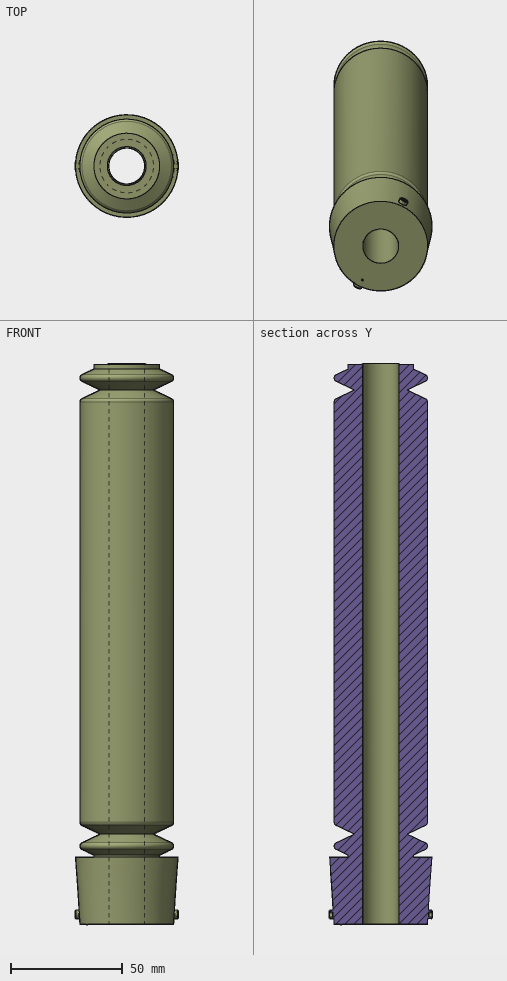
import cadquery as cq
import math

face_height = 250.5
body_radius = 42 / 2
neck_radius = 24 / 2
collar_radius = 29.4 / 2
low_collar_length = 0.9
top_collar_length = 2.0
rim_fillet = 1.7
cone_slope = math.radians(25.5)

bore_radius = 16 / 2
lip_width = 0.7
lip_height = 0.5

foot_height = 30.0
foot_top_radius = 46 / 2
foot_bottom_radius = 42 / 2
foot_middle_radius = 21.9

screw_radius = 4 / 2
screw_tip = 46.1 / 2
screw_height = 4.4
screw_root = 16.0
screw_chamfer = 0.4
socket_radius = 1.0
socket_depth = 1.5

nut_drop = 0.23
nut_offset = 17.8
nut_thickness = 0.6
nut_turn = 30
nut_corner_radius = screw_height + nut_drop

arc_center_radius = body_radius - rim_fillet
cone_outer_radius = arc_center_radius + rim_fillet * math.sin(cone_slope)
tangent_rise = rim_fillet * math.cos(cone_slope)


def cone_run(inner_radius):
    """Axial distance from the centre of a rim arc to where its cone reaches inner_radius."""
    return tangent_rise + (cone_outer_radius - inner_radius) * math.tan(cone_slope)


neck_run = cone_run(neck_radius)
collar_run = cone_run(collar_radius)
low_rim = foot_height + low_collar_length + collar_run
low_neck = low_rim + neck_run
grip_bottom = low_neck + neck_run
top_rim = face_height - top_collar_length - collar_run
top_neck = top_rim - neck_run
grip_top = top_neck - neck_run


def revolve_about_z(outline):
    """Close a half section drawn from the axis and turn it into a solid."""
    return outline.close().revolve(360, (0, 0, 0), (0, 1, 0))


def add_rim(outline, height):
    """Rounded rim between its lower and upper cones."""
    outline = outline.lineTo(cone_outer_radius, height - tangent_rise)
    return outline.threePointArc((body_radius, height), (cone_outer_radius, height + tangent_rise))


def add_grip(outline):
    """Long cylinder whose two ends round over into the neck cones."""
    half_angle = (math.pi / 2 - cone_slope) / 2
    middle_radius = arc_center_radius + rim_fillet * math.cos(half_angle)
    middle_rise = rim_fillet * math.sin(half_angle)
    outline = outline.lineTo(cone_outer_radius, grip_bottom - tangent_rise)
    outline = outline.threePointArc((middle_radius, grip_bottom - middle_rise), (body_radius, grip_bottom))
    outline = outline.lineTo(body_radius, grip_top)
    return outline.threePointArc(
        (middle_radius, grip_top + middle_rise), (cone_outer_radius, grip_top + tangent_rise)
    )


def turned_handle():
    """Foot, two rims, grip and bore lip as one solid of revolution, without the bore."""
    outline = cq.Workplane("XZ").lineTo(foot_bottom_radius, 0)
    outline = outline.threePointArc((foot_middle_radius, foot_height / 2), (foot_top_radius, foot_height))
    outline = outline.lineTo(collar_radius, foot_height)
    outline = outline.lineTo(collar_radius, foot_height + low_collar_length)
    outline = add_rim(outline, low_rim).lineTo(neck_radius, low_neck)
    outline = add_grip(outline).lineTo(neck_radius, top_neck)
    outline = add_rim(outline, top_rim)
    outline = outline.lineTo(collar_radius, face_height - top_collar_length)
    outline = outline.lineTo(collar_radius, face_height)
    outline = outline.lineTo(bore_radius + lip_width, face_height)
    outline = outline.lineTo(bore_radius, face_height + lip_height)
    return revolve_about_z(outline.lineTo(0, face_height + lip_height))


def bore():
    """Straight hole from the bottom of the foot to the tip of the lip."""
    return cq.Workplane("XY").circle(bore_radius).extrude(face_height + lip_height)


def set_screw():
    """Set screw on the +X side, with a chamfered tip and a blind round socket."""
    screw = cq.Workplane("YZ", origin=(screw_root, 0, screw_height))
    screw = screw.circle(screw_radius).extrude(screw_tip - screw_root)
    return screw.faces(">X").chamfer(screw_chamfer)


def screw_socket():
    """Blind socket in the tip of the +X set screw."""
    socket = cq.Workplane("YZ", origin=(screw_tip - socket_depth, 0, screw_height))
    return socket.circle(socket_radius).extrude(socket_depth)


def nut():
    """Hexagonal plate with one corner pointing straight down."""
    plate = cq.Workplane("YZ", origin=(-nut_offset - nut_thickness / 2, 0, screw_height))
    plate = plate.transformed(rotate=(0, 0, nut_turn)).polygon(6, 2 * nut_corner_radius)
    return plate.extrude(nut_thickness)


result = turned_handle().cut(bore()).union(nut())
for turn in (0, 180):
    result = result.union(set_screw().rotate((0, 0, 0), (0, 0, 1), turn))
    result = result.cut(screw_socket().rotate((0, 0, 0), (0, 0, 1), turn))